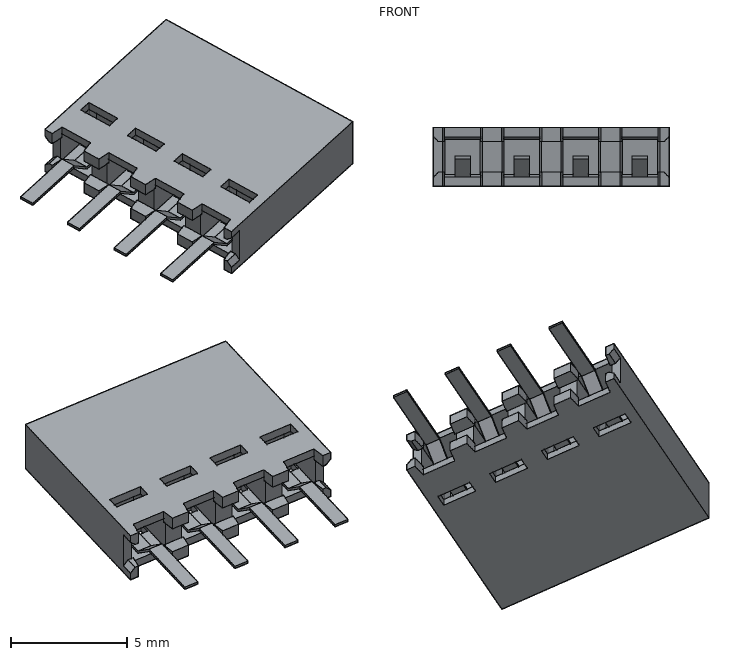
import cadquery as cq
position_count = 4
pitch = 2.54
housing_width = position_count * pitch
housing_length = 8.5
housing_height = 2.54
mid_height = housing_height / 2
front_y = 0.0
pin_positions = [(i - (position_count - 1) / 2) * pitch for i in range(position_count)]

tooth_length = 0.57
tooth_height = 0.616
gap_tip_width = 1.73
gap_root_width = 1.54
end_tooth_chamfer = 0.235
root_y = front_y + tooth_length

cavity_size = 1.71
cavity_end_size = 1.51
taper_length = 0.37
taper_front_y = front_y + 2.6
cavity_end_y = taper_front_y + taper_length
cavity_floor_z = mid_height - cavity_size / 2

window_width = 1.56
window_front_y = front_y + 1.89
top_window_length = 0.57
bottom_window_length = 0.53

pin_width = 0.66
pin_thickness = 0.13
pin_projection = 2.9
pin_underside_z = 1.19
pin_crank_length = 0.89


def box_between(x_range, y_range, z_range):
    """Axis-aligned box given by its limits on each axis."""
    (x0, x1), (y0, y1), (z0, z1) = x_range, y_range, z_range
    return cq.Workplane("XY").box(x1 - x0, y1 - y0, z1 - z0, centered=False).translate((x0, y0, z0))


def make_block():
    """Housing block with an open channel between the two rows of teeth."""
    half_width = housing_width / 2
    block = box_between((-half_width, half_width), (front_y, housing_length), (0, housing_height))
    channel = (
        cq.Workplane("XZ", origin=(0, root_y, 0))
        .center(0, mid_height)
        .rect(housing_width, housing_height - 2 * tooth_height)
        .extrude(tooth_length)
    )
    return block.cut(channel)


def make_end_chamfer(side, level):
    """Triangular cut on the channel-side outer edge of an end tooth."""
    corner_x = side * housing_width / 2
    corner_z = mid_height + level * (mid_height - tooth_height)
    return (
        cq.Workplane("XZ", origin=(0, root_y, 0))
        .moveTo(corner_x, corner_z)
        .lineTo(corner_x - side * end_tooth_chamfer, corner_z)
        .lineTo(corner_x, corner_z + level * end_tooth_chamfer)
        .close()
        .extrude(tooth_length)
    )


def make_tooth_gap(x):
    """Tapered gap between neighbouring teeth, through the full height."""
    return (
        cq.Workplane("XY")
        .moveTo(x - gap_tip_width / 2, front_y)
        .lineTo(x + gap_tip_width / 2, front_y)
        .lineTo(x + gap_root_width / 2, root_y)
        .lineTo(x - gap_root_width / 2, root_y)
        .close()
        .extrude(housing_height)
    )


def make_cavity(x):
    """Square pocket running rearwards from the tooth roots, tapered at its closed end."""
    half_size = cavity_size / 2
    straight_part = box_between(
        (x - half_size, x + half_size),
        (root_y, taper_front_y),
        (mid_height - half_size, mid_height + half_size),
    )
    tapered_end = (
        cq.Workplane("XZ", origin=(x, taper_front_y, mid_height))
        .rect(cavity_size, cavity_size)
        .workplane(offset=-taper_length)
        .rect(cavity_end_size, cavity_end_size)
        .loft(ruled=True)
    )
    return straight_part.union(tapered_end)


def make_window(x, length, z_range):
    """Rectangular window through one wall of a cavity."""
    x_range = (x - window_width / 2, x + window_width / 2)
    return box_between(x_range, (window_front_y, window_front_y + length), z_range)


def make_pin(x):
    """Cranked flat pin from the cavity end to the free tip in front of the housing."""
    tip_y = front_y - pin_projection
    crank_end_y = front_y + pin_crank_length
    underside = [
        (tip_y, pin_underside_z),
        (front_y, pin_underside_z),
        (crank_end_y, cavity_floor_z),
        (cavity_end_y, cavity_floor_z),
    ]
    upper_side = [(y, z + pin_thickness) for y, z in reversed(underside)]
    return (
        cq.Workplane("YZ", origin=(x, 0, 0))
        .polyline(underside + upper_side)
        .close()
        .extrude(pin_width / 2, both=True)
    )


result = make_block()
for side in (-1, 1):
    for level in (-1, 1):
        result = result.cut(make_end_chamfer(side, level))
for pin_x in pin_positions:
    result = result.cut(make_tooth_gap(pin_x))
    result = result.cut(make_cavity(pin_x))
    result = result.cut(make_window(pin_x, top_window_length, (mid_height, housing_height)))
    result = result.cut(make_window(pin_x, bottom_window_length, (0, mid_height)))
for pin_x in pin_positions:
    result = result.union(make_pin(pin_x))